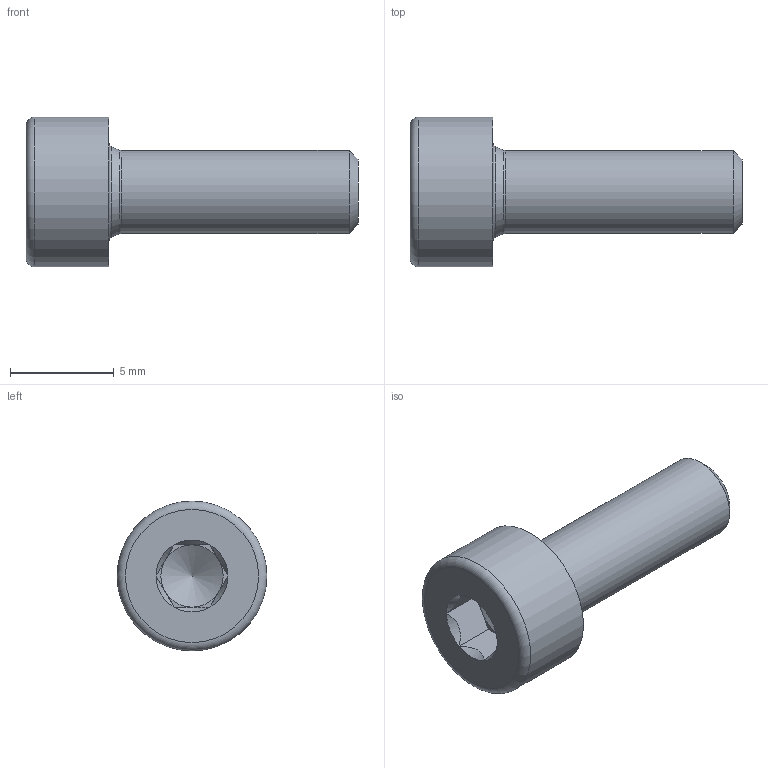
import cadquery as cq
import math


head_diameter = 7.22
head_height = 4.0
head_edge_radius = 0.4

shank_diameter = 4.0
shank_length = 12.0
tip_diameter = 3.141

transition_diameter = 4.7
transition_length = 0.6
transition_blend_radius = 0.2

socket_sides = 6
socket_across_flats = 3.0
socket_depth = 2.0
socket_lead_in_angle = 30.0
socket_floor_cone_angle = 120.0

head_radius = head_diameter / 2
shank_radius = shank_diameter / 2
tip_radius = tip_diameter / 2
tip_chamfer_length = shank_radius - tip_radius
total_length = head_height + shank_length
socket_flat_radius = socket_across_flats / 2
socket_corner_radius = socket_flat_radius / math.cos(math.pi / socket_sides)


def revolve_about_axis(profile):
    """Turn a closed XY profile a full revolution about the X axis."""
    return profile.revolve(360, (0, 0, 0), (1, 0, 0))


def make_body():
    """Head, flared transition and chamfered shank as one turned body."""
    transition_end = head_height + transition_length
    transition_radius = transition_diameter / 2
    chamfer_start = total_length - tip_chamfer_length

    cone_rise = transition_radius - shank_radius - transition_blend_radius
    cone_run = transition_length - transition_blend_radius
    cone_angle = math.atan2(cone_rise, cone_run)
    blend_across = transition_blend_radius * math.cos(cone_angle)
    blend_along = transition_blend_radius * math.sin(cone_angle)
    cone_start_x = head_height + transition_blend_radius - blend_along
    cone_start = (cone_start_x, transition_radius - blend_across)
    cone_end_radius = shank_radius + transition_blend_radius - blend_across
    cone_end = (transition_end - blend_along, cone_end_radius)

    profile = (
        cq.Workplane("XY")
        .lineTo(0, head_radius - head_edge_radius)
        .radiusArc((head_edge_radius, head_radius), head_edge_radius)
        .lineTo(head_height, head_radius)
        .lineTo(head_height, transition_radius)
        .radiusArc(cone_start, -transition_blend_radius)
        .lineTo(*cone_end)
        .radiusArc((transition_end, shank_radius), -transition_blend_radius)
        .lineTo(chamfer_start, shank_radius)
        .lineTo(total_length, tip_radius)
        .lineTo(total_length, 0)
        .close()
    )
    return revolve_about_axis(profile)


def make_socket():
    """Hexagonal recess with corners along Y and a conical floor."""
    hexagon = cq.Workplane("YZ").polygon(socket_sides, 2 * socket_corner_radius).extrude(socket_depth)
    cone_depth = socket_flat_radius / math.tan(math.radians(socket_floor_cone_angle / 2))
    floor_cone = revolve_about_axis(
        cq.Workplane("XY")
        .moveTo(socket_depth, 0)
        .lineTo(socket_depth, socket_flat_radius)
        .lineTo(socket_depth + cone_depth, 0)
        .close()
    )
    return hexagon.union(floor_cone)


def make_socket_lead_in():
    """Conical countersink as wide as the hexagon corners at the mouth, tapering to the socket depth."""
    taper = socket_depth * math.tan(math.radians(socket_lead_in_angle))
    return revolve_about_axis(
        cq.Workplane("XY")
        .lineTo(0, socket_corner_radius)
        .lineTo(socket_depth, socket_corner_radius - taper)
        .lineTo(socket_depth, 0)
        .close()
    )


result = make_body().cut(make_socket()).cut(make_socket_lead_in())